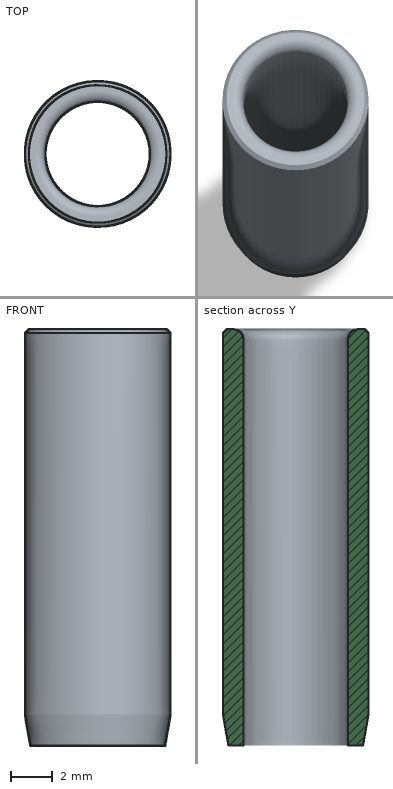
import cadquery as cq
import math

length = 20.0
outer_diameter = 7.0
bore_diameter = 5.0

entry_radius = 0.5

top_chamfer = 0.2

lead_in_length = 1.5
lead_in_angle = 10.0

outer_radius = outer_diameter / 2
lead_in_step = lead_in_length * math.tan(math.radians(lead_in_angle))


def make_body():
    """Solid cylinder, standing centred on the Z axis, with both outer ends broken."""
    body = cq.Workplane("XY").circle(outer_radius).extrude(length)
    body = body.faces(">Z").chamfer(top_chamfer)
    return body.faces("<Z").chamfer(lead_in_length, lead_in_step)


def make_bore_cutter():
    """Through bore that flares outward along a quarter round at the top."""
    bore_radius = bore_diameter / 2
    entry_start = length - entry_radius
    arc_offset = entry_radius * (1 - math.cos(math.radians(45)))
    profile = (
        cq.Workplane("XZ")
        .lineTo(bore_radius, 0)
        .lineTo(bore_radius, entry_start)
        .threePointArc(
            (bore_radius + arc_offset, length - arc_offset),
            (bore_radius + entry_radius, length),
        )
        .lineTo(0, length)
        .close()
    )
    return profile.revolve(360, (0, 0, 0), (0, 1, 0))


result = make_body().cut(make_bore_cutter())